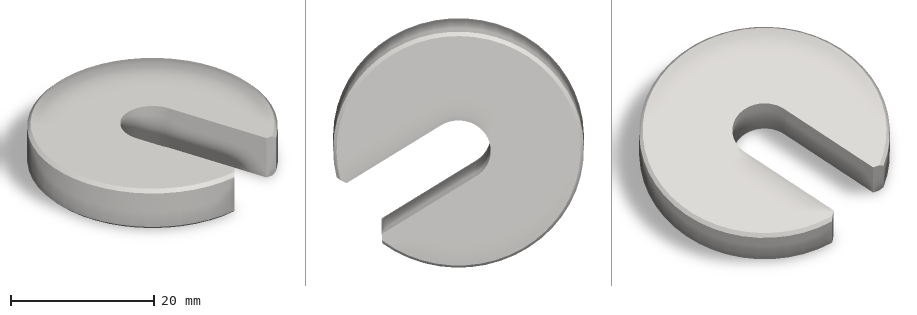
import cadquery as cq
import math

outer_diameter = 35.0
thickness = 6.5
slot_width = 9.0
edge_chamfer = 0.5
mouth_start = 15.7
flare_angle = 60.0

outer_radius = outer_diameter / 2
slot_radius = slot_width / 2

disc = cq.Workplane("XY").circle(outer_radius).extrude(thickness)
disc = disc.faces("<Z or >Z").edges().chamfer(edge_chamfer)

flare_end = outer_radius
flare_half_width = slot_radius + (flare_end - mouth_start) * math.tan(math.radians(flare_angle))
slot = (
    cq.Workplane("XY")
    .moveTo(0, slot_radius)
    .threePointArc((-slot_radius, 0), (0, -slot_radius))
    .lineTo(mouth_start, -slot_radius)
    .lineTo(flare_end, -flare_half_width)
    .lineTo(flare_end, flare_half_width)
    .lineTo(mouth_start, slot_radius)
    .close()
    .extrude(thickness)
)

result = disc.cut(slot)